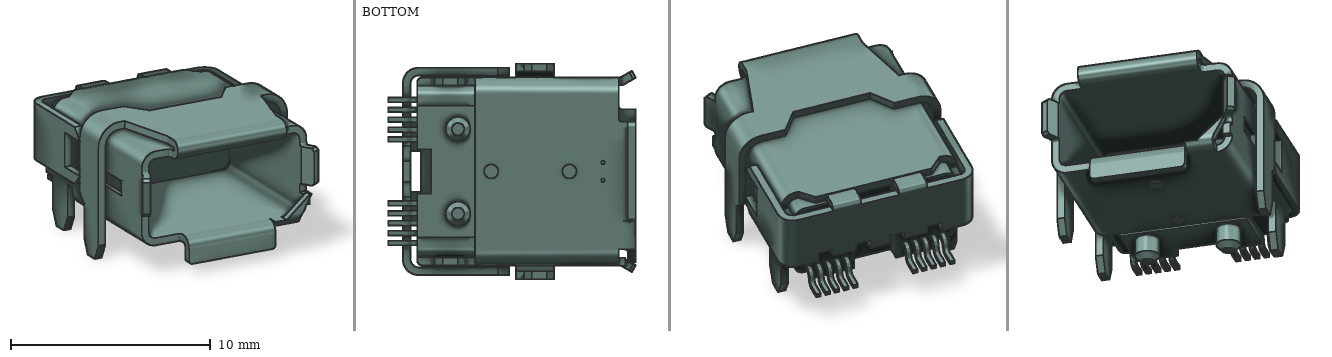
import cadquery as cq
import math


METAL = 0.4
LENGTH = 12.4
WIDTH = 10.8
TOP = 5.7
LEG_TIP_Z = -1.5
LEG_TAPER_Z = -0.68
LEG_TIP_WIDTH = 0.75

FOLD_RADIUS = 0.5
FOLD_INNER_RADIUS = FOLD_RADIUS - METAL
FOLD_HALF_WIDTH = 3.11
FOLD_X = LENGTH - FOLD_RADIUS

SHELL_REAR = 2.33
SHELL_FRONT = 11.55
SHELL_HALF_WIDTH = 4.71
SHELL_BOTTOM = 0.1
SHELL_TOP = TOP - METAL - 2 * FOLD_INNER_RADIUS
SHELL_RADIUS = 0.8
SHELL_INNER_RADIUS = SHELL_RADIUS - METAL
SHELL_INSIDE = SHELL_HALF_WIDTH - METAL
SHELL_CEILING = SHELL_TOP - METAL
SHELL_FLOOR_REAR = 4.36
SIDE_BOTTOM = 1.05
PANEL_REAR = 1.64
PANEL_BASE_HALF_WIDTH = 3.78
SHELL_LEG_REAR = 2.33
SHELL_LEG_FRONT = 3.87

HOUSING_REAR = 1.45
HOUSING_FRONT = 4.33
CORE_HALF_WIDTH = 4.29
CORE_RADIUS = 0.5
BASE_HALF_WIDTH = 3.3
BASE_TOP = 0.53
EAR_CORNER_RADIUS = 0.27
REAR_NOTCH_HALF_WIDTH = 1.12
REAR_NOTCH_FRONT = 2.16
PEG_X = 3.5
PEG_Y = 2.12
PEG_RADIUS = 0.61
PEG_LENGTH = 1.19
PEG_CHAMFER = 0.3

STRAP_REAR = 0.73
STRAP_HALF_WIDTH = 5.2
STRAP_BOTTOM = 1.69
STRAP_TOP = SHELL_CEILING
STRAP_RADIUS = 0.79
STRAP_TIP = 6.05
PRONG_SHOULDER = 5.48
PRONG_NOTCH_REAR = 4.45
PRONG_NOTCH_BOTTOM = 2.27
PRONG_NOTCH_TOP = 4.09
SLOT_TOP = 2.2
FINGER_BOTTOM = 1.79
FINGER_INNER_Y = 1.29
FINGER_OUTER_Y = 2.52
SLOT_INNER_Y = 0.52
SLOT_OUTER_Y = 3.29
TAB_INNER_Y = 1.02
TAB_DROP = 0.05
TAB_RADIUS = 0.33

CLIP_REAR = 6.4
CLIP_FRONT = 8.31
CLIP_HALF_WIDTH = WIDTH / 2
CLIP_RADIUS = 1.2
CLIP_LEG_REAR = 6.82
CLIP_STEP_TOP = 1.51
CLIP_STEP_BOTTOM = 1.12
CLIP_NOTCH_FRONT = 7.55
CLIP_NOTCH_INNER_Y = 2.06
CLIP_NOTCH_OUTER_Y = 2.91
CLIP_SHOULDER_Y = 3.9
CLIP_TAPER_END = 11.31

PIN_COUNT = 5
PIN_PITCH = 0.5
PIN_FIRST_Y = 1.6
PIN_WIDTH = 0.25
PIN_THICKNESS = 0.2
PIN_FOOT = 0.67
PIN_BEND_ANGLE = math.radians(75)
PIN_BEND_RADIUS = 0.3
PIN_EXIT_Z = 0.82
PIN_END_X = 1.74

ROOT_RADIUS = 0.17
FLARE_ANGLE = math.radians(30)
FLARE_BEND_X = 11.74
FLARE_BEND_LENGTH = 0.09
FLARE_BOTTOM = 2.01
FLARE_TOP = 3.99
FLARE_CORNER = 0.15
LIP_HALF_WIDTH = 2.48
LIP_INNER_RADIUS = 0.2
LIP_OUTER_RADIUS = LIP_INNER_RADIUS + METAL
LIP_BOTTOM = -0.9
LIP_CORNER_RADIUS = 0.22
LIP_EAR_INNER_Y = 3.11
LIP_EAR_SHOULDER_Y = 4.44
LIP_EAR_OUTER_Y = 4.54
LIP_EAR_TOP = 1.64
SEAM_TONGUE_FRONT = 11.87
SEAM_TONGUE_BOTTOM = 0.9
SEAM_TONGUE_TOP = 1.51

WINDOW_REAR = 7.44
WINDOW_FRONT = 9.45
WINDOW_BOTTOM = 2.23
WINDOW_TOP = 3.01
WINDOW_DEPTH = 0.27
LANCE_REAR = 4.69
LANCE_FRONT = 5.43
LANCE_BOTTOM = 2.45
LANCE_TOP = 3.97
LANCE_RISE = 0.25
PAD_DIAMETER = 0.71
PAD_CENTRES_X = (5.16, 9.08)
DIMPLE_X = 10.75
DIMPLE_Y = 0.45
DIMPLE_RADIUS = 0.09


def box(x0, x1, y0, y1, z0, z1):
    """Block between two opposite corners."""
    return cq.Workplane("XY").box(x1 - x0, y1 - y0, z1 - z0, centered=False).translate((x0, y0, z0))


def both_sides(body):
    """The body together with its mirror image across the middle plane."""
    return body.union(body.mirror("XZ"))


def side_plate(points, y0, y1):
    """XZ outline given as a plate between two Y positions."""
    return cq.Workplane("XZ", origin=(0, y1, 0)).polyline(points).close().extrude(y1 - y0)


def flat_plate(points, z0, z1):
    """XY outline given as a plate between two heights."""
    return cq.Workplane("XY", origin=(0, 0, z0)).polyline(points).close().extrude(z1 - z0)


def rounded_bar(x0, x1, half_width, z0, z1, radius):
    """Bar along X with all four long edges rounded."""
    return box(x0, x1, -half_width, half_width, z0, z1).edges("|X").fillet(radius)


def leg_points(x0, x1, top):
    """Outline of a board leg that narrows to its tip."""
    middle = (x0 + x1) / 2
    half_tip = LEG_TIP_WIDTH / 2
    return [
        (x0, top),
        (x0, LEG_TAPER_Z),
        (middle - half_tip, LEG_TIP_Z),
        (middle + half_tip, LEG_TIP_Z),
        (x1, LEG_TAPER_Z),
        (x1, top),
    ]


def root_web(plane, origin, side):
    """Concave corner where a lip leaves the front edge of the shell, one sheet thick."""
    middle = ROOT_RADIUS * (1 - math.sqrt(0.5))
    return (
        cq.Workplane(plane, origin=origin)
        .lineTo(ROOT_RADIUS, 0)
        .threePointArc((middle, side * middle), (0, side * ROOT_RADIUS))
        .close()
        .extrude(METAL)
    )


def make_shell():
    """Hollow shell with an open rear floor, roof end, board legs and small pressed details."""
    outside = rounded_bar(SHELL_REAR, SHELL_FRONT, SHELL_HALF_WIDTH, SHELL_BOTTOM, SHELL_TOP, SHELL_RADIUS)
    cavity = rounded_bar(
        SHELL_REAR, SHELL_FRONT, SHELL_INSIDE, SHELL_BOTTOM + METAL, SHELL_CEILING, SHELL_INNER_RADIUS
    )
    open_floor = box(
        SHELL_REAR, SHELL_FLOOR_REAR, -SHELL_HALF_WIDTH, SHELL_HALF_WIDTH, SHELL_BOTTOM, SIDE_BOTTOM
    )
    shell = outside.cut(cavity).cut(open_floor)

    roof_end = [
        (PANEL_REAR, -FOLD_HALF_WIDTH),
        (SHELL_REAR, -PANEL_BASE_HALF_WIDTH),
        (SHELL_REAR, PANEL_BASE_HALF_WIDTH),
        (PANEL_REAR, FOLD_HALF_WIDTH),
    ]
    shell = shell.union(flat_plate(roof_end, SHELL_CEILING, SHELL_TOP))

    leg = leg_points(SHELL_LEG_REAR, SHELL_LEG_FRONT, SIDE_BOTTOM)
    shell = shell.union(both_sides(side_plate(leg, SHELL_INSIDE, SHELL_HALF_WIDTH)))

    window_floor_y = SHELL_HALF_WIDTH - WINDOW_DEPTH
    window = box(
        WINDOW_REAR, WINDOW_FRONT, window_floor_y, SHELL_HALF_WIDTH, WINDOW_BOTTOM, WINDOW_TOP
    )
    shell = shell.cut(both_sides(window))

    lance = [
        (LANCE_REAR, SHELL_HALF_WIDTH),
        (LANCE_FRONT, SHELL_HALF_WIDTH + LANCE_RISE),
        (LANCE_FRONT, SHELL_HALF_WIDTH),
    ]
    shell = shell.union(both_sides(flat_plate(lance, LANCE_BOTTOM, LANCE_TOP)))

    for x in PAD_CENTRES_X:
        shell = shell.union(cq.Workplane("XY").center(x, 0).circle(PAD_DIAMETER / 2).extrude(SHELL_BOTTOM))
    for z in (SHELL_BOTTOM, SHELL_TOP):
        dimple = cq.Workplane("XY").sphere(DIMPLE_RADIUS).translate((DIMPLE_X, DIMPLE_Y, z))
        shell = shell.union(both_sides(dimple))
    return shell


def make_housing():
    """Plastic body in the rear of the shell, with two locating pegs."""
    core = rounded_bar(
        HOUSING_REAR, HOUSING_FRONT, CORE_HALF_WIDTH, BASE_TOP, SHELL_CEILING, CORE_RADIUS
    )
    base = box(HOUSING_REAR, HOUSING_FRONT, -BASE_HALF_WIDTH, BASE_HALF_WIDTH, 0, BASE_TOP)
    ear_top = SHELL_CEILING - CORE_RADIUS
    ears = box(
        HOUSING_REAR, SHELL_REAR, -SHELL_HALF_WIDTH, SHELL_HALF_WIDTH, SIDE_BOTTOM, ear_top
    ).edges("|Z and <X").fillet(EAR_CORNER_RADIUS)
    notch = box(
        HOUSING_REAR, REAR_NOTCH_FRONT, -REAR_NOTCH_HALF_WIDTH, REAR_NOTCH_HALF_WIDTH, 0, SHELL_CEILING
    )
    peg = (
        cq.Workplane("XY")
        .center(PEG_X, PEG_Y)
        .circle(PEG_RADIUS)
        .extrude(-PEG_LENGTH)
        .faces("<Z")
        .chamfer(PEG_CHAMFER)
    )
    return core.union(base).union(ears).cut(notch).union(both_sides(peg))


def make_strap():
    """U-shaped strap around the rear, with forked ends and two tabs bent over the top."""
    outside = box(
        STRAP_REAR, STRAP_TIP, -STRAP_HALF_WIDTH, STRAP_HALF_WIDTH, STRAP_BOTTOM, STRAP_TOP
    ).edges("|Z and <X").fillet(STRAP_RADIUS)
    inside_half_width = STRAP_HALF_WIDTH - METAL
    inside = box(
        STRAP_REAR + METAL, STRAP_TIP, -inside_half_width, inside_half_width, STRAP_BOTTOM, STRAP_TOP
    ).edges("|Z and <X").fillet(STRAP_RADIUS - METAL)

    side_outline = [
        (STRAP_REAR, STRAP_BOTTOM),
        (PRONG_SHOULDER, STRAP_BOTTOM),
        (STRAP_TIP, PRONG_NOTCH_BOTTOM),
        (PRONG_NOTCH_REAR, PRONG_NOTCH_BOTTOM),
        (PRONG_NOTCH_REAR, PRONG_NOTCH_TOP),
        (STRAP_TIP, PRONG_NOTCH_TOP),
        (PRONG_SHOULDER, STRAP_TOP),
        (STRAP_REAR, STRAP_TOP),
    ]
    strap = outside.cut(inside).intersect(side_plate(side_outline, -STRAP_HALF_WIDTH, STRAP_HALF_WIDTH))

    strap_inner_x = STRAP_REAR + METAL
    for y0, y1, top in (
        (SLOT_INNER_Y, FINGER_INNER_Y, SLOT_TOP),
        (FINGER_INNER_Y, FINGER_OUTER_Y, FINGER_BOTTOM),
        (FINGER_OUTER_Y, SLOT_OUTER_Y, SLOT_TOP),
    ):
        strap = strap.cut(both_sides(box(STRAP_REAR, strap_inner_x, y0, y1, STRAP_BOTTOM, top)))

    tab = box(STRAP_REAR, PANEL_REAR, TAB_INNER_Y, FINGER_OUTER_Y, STRAP_TOP, SHELL_TOP - TAB_DROP)
    tab = tab.edges("|Y and <X and >Z").fillet(TAB_RADIUS)
    return strap.union(both_sides(tab))


def make_clip():
    """Clip over the shell with a leg on each side, folded back into the shell roof at the front."""
    inside_half_width = CLIP_HALF_WIDTH - METAL
    underside = TOP - METAL
    band = box(CLIP_REAR, CLIP_FRONT, -CLIP_HALF_WIDTH, CLIP_HALF_WIDTH, LEG_TIP_Z, TOP)
    band = band.edges("|X and >Z").fillet(CLIP_RADIUS)
    inside = box(CLIP_REAR, CLIP_FRONT, -inside_half_width, inside_half_width, LEG_TIP_Z, underside)
    inside = inside.edges("|X and >Z").fillet(CLIP_RADIUS - METAL)
    side_outline = [(CLIP_REAR, TOP), (CLIP_REAR, CLIP_STEP_TOP)]
    side_outline += leg_points(CLIP_LEG_REAR, CLIP_FRONT, CLIP_STEP_BOTTOM)
    side_outline += [(CLIP_FRONT, TOP)]
    band = band.cut(inside).intersect(side_plate(side_outline, -CLIP_HALF_WIDTH, CLIP_HALF_WIDTH))

    rear_notch = [
        (CLIP_REAR, -CLIP_NOTCH_OUTER_Y),
        (CLIP_NOTCH_FRONT, -CLIP_NOTCH_INNER_Y),
        (CLIP_NOTCH_FRONT, CLIP_NOTCH_INNER_Y),
        (CLIP_REAR, CLIP_NOTCH_OUTER_Y),
    ]
    roof = [
        (CLIP_FRONT, -CLIP_SHOULDER_Y),
        (CLIP_TAPER_END, -FOLD_HALF_WIDTH),
        (FOLD_X, -FOLD_HALF_WIDTH),
        (FOLD_X, FOLD_HALF_WIDTH),
        (CLIP_TAPER_END, FOLD_HALF_WIDTH),
        (CLIP_FRONT, CLIP_SHOULDER_Y),
    ]
    clip = band.cut(flat_plate(rear_notch, underside, TOP)).union(flat_plate(roof, underside, TOP))

    fold_z = TOP - FOLD_RADIUS
    fold = (
        cq.Workplane("XZ", origin=(FOLD_X, FOLD_HALF_WIDTH, fold_z))
        .moveTo(0, FOLD_RADIUS)
        .threePointArc((FOLD_RADIUS, 0), (0, -FOLD_RADIUS))
        .lineTo(0, -FOLD_INNER_RADIUS)
        .threePointArc((FOLD_INNER_RADIUS, 0), (0, FOLD_INNER_RADIUS))
        .close()
        .extrude(2 * FOLD_HALF_WIDTH)
    )
    lower_layer = box(SHELL_FRONT, FOLD_X, -FOLD_HALF_WIDTH, FOLD_HALF_WIDTH, SHELL_CEILING, SHELL_TOP)
    web = root_web("XY", (SHELL_FRONT, FOLD_HALF_WIDTH, SHELL_CEILING), 1)
    return clip.union(fold).union(lower_layer).union(both_sides(web))


def make_flare():
    """Side lip bent outward at the mating face."""
    tip_y = SHELL_INSIDE + (LENGTH - FLARE_BEND_X) * math.tan(FLARE_ANGLE)
    across = (-math.sin(FLARE_ANGLE), math.cos(FLARE_ANGLE))
    outer_tip = (LENGTH + METAL * across[0], tip_y + METAL * across[1])
    outer_bend_x = FLARE_BEND_X - METAL * math.tan(FLARE_ANGLE / 2)
    bend_start = (outer_bend_x - FLARE_BEND_LENGTH, SHELL_HALF_WIDTH)
    bend_end = (
        outer_bend_x + FLARE_BEND_LENGTH * math.cos(FLARE_ANGLE),
        SHELL_HALF_WIDTH + FLARE_BEND_LENGTH * math.sin(FLARE_ANGLE),
    )
    bend_radius = FLARE_BEND_LENGTH / math.tan(FLARE_ANGLE / 2)
    flare = (
        cq.Workplane("XY", origin=(0, 0, FLARE_BOTTOM))
        .moveTo(SHELL_FRONT, SHELL_INSIDE)
        .lineTo(FLARE_BEND_X, SHELL_INSIDE)
        .lineTo(LENGTH, tip_y)
        .lineTo(*outer_tip)
        .lineTo(*bend_end)
        .radiusArc(bend_start, bend_radius)
        .lineTo(SHELL_FRONT, SHELL_HALF_WIDTH)
        .close()
        .extrude(FLARE_TOP - FLARE_BOTTOM)
    )
    tip_edges = cq.selectors.ParallelDirSelector(cq.Vector(across[0], across[1], 0))
    flare = flare.edges(tip_edges).chamfer(FLARE_CORNER)
    for z, side in ((FLARE_BOTTOM, -1), (FLARE_TOP, 1)):
        flare = flare.union(root_web("XZ", (SHELL_FRONT, SHELL_HALF_WIDTH, z), side))
    return flare


def bent_lip(half_width, end_z):
    """Floor lip of the given half width that bends down to end_z at the mating face."""
    floor_top = SHELL_BOTTOM + METAL
    bend_x = LENGTH - LIP_OUTER_RADIUS
    inner_bend_z = SHELL_BOTTOM - LIP_INNER_RADIUS
    return (
        cq.Workplane("XZ", origin=(0, half_width, 0))
        .moveTo(SHELL_FRONT, SHELL_BOTTOM)
        .lineTo(bend_x, SHELL_BOTTOM)
        .radiusArc((LENGTH - METAL, inner_bend_z), LIP_INNER_RADIUS)
        .lineTo(LENGTH - METAL, end_z)
        .lineTo(LENGTH, end_z)
        .lineTo(LENGTH, inner_bend_z)
        .radiusArc((bend_x, floor_top), -LIP_OUTER_RADIUS)
        .lineTo(SHELL_FRONT, floor_top)
        .close()
        .extrude(2 * half_width)
    )


def make_bottom_lip():
    """Lip bent down from the floor, with an ear bent up beside it on the +Y side."""
    floor_top = SHELL_BOTTOM + METAL
    floor_middle = SHELL_BOTTOM + METAL / 2
    floor_edge_y = SHELL_HALF_WIDTH - SHELL_RADIUS
    lip = bent_lip(LIP_HALF_WIDTH, LIP_BOTTOM).edges("|X and <Z").fillet(LIP_CORNER_RADIUS)
    lip = lip.union(both_sides(root_web("XY", (SHELL_FRONT, LIP_HALF_WIDTH, SHELL_BOTTOM), 1)))

    ear_outline = [
        (LIP_HALF_WIDTH, SHELL_BOTTOM),
        (LIP_HALF_WIDTH, floor_top),
        (LIP_EAR_INNER_Y, floor_top),
        (LIP_EAR_SHOULDER_Y, LIP_EAR_TOP),
        (LIP_EAR_OUTER_Y, LIP_EAR_TOP),
        (floor_edge_y, floor_top),
        (floor_edge_y, SHELL_BOTTOM),
    ]
    ear_prism = (
        cq.Workplane("YZ", origin=(SHELL_FRONT, 0, 0))
        .polyline(ear_outline)
        .close()
        .extrude(LENGTH - SHELL_FRONT)
    )
    bent_up = bent_lip(SHELL_HALF_WIDTH, 2 * floor_middle - LIP_EAR_TOP).mirror("XY", (0, 0, floor_middle))
    ear = bent_up.intersect(ear_prism)
    seam_tongue = box(
        SHELL_FRONT, SEAM_TONGUE_FRONT, SHELL_INSIDE, SHELL_HALF_WIDTH, SEAM_TONGUE_BOTTOM, SEAM_TONGUE_TOP
    )
    return lip.union(ear).union(seam_tongue)


def make_pin(y):
    """Gull-wing pin with its foot on the board."""
    foot_z = PIN_THICKNESS / 2
    rise = PIN_EXIT_Z - foot_z
    bend_x = PIN_BEND_RADIUS * math.sin(PIN_BEND_ANGLE)
    bend_z = PIN_BEND_RADIUS * (1 - math.cos(PIN_BEND_ANGLE))
    ramp_z = rise - 2 * bend_z
    ramp_x = ramp_z / math.tan(PIN_BEND_ANGLE)
    path = (
        cq.Workplane("XZ", origin=(0, y, 0))
        .moveTo(0, foot_z)
        .lineTo(PIN_FOOT, foot_z)
        .tangentArcPoint((bend_x, bend_z))
        .line(ramp_x, ramp_z)
        .tangentArcPoint((bend_x, bend_z))
        .lineTo(PIN_END_X, PIN_EXIT_Z)
    )
    return cq.Workplane("YZ", origin=(0, y, foot_z)).rect(PIN_WIDTH, PIN_THICKNESS).sweep(path)


result = make_shell().union(make_housing()).union(make_strap()).union(make_clip())
result = result.union(both_sides(make_flare())).union(make_bottom_lip())
for index in range(PIN_COUNT):
    pin_y = PIN_FIRST_Y + index * PIN_PITCH
    result = result.union(both_sides(make_pin(pin_y)))